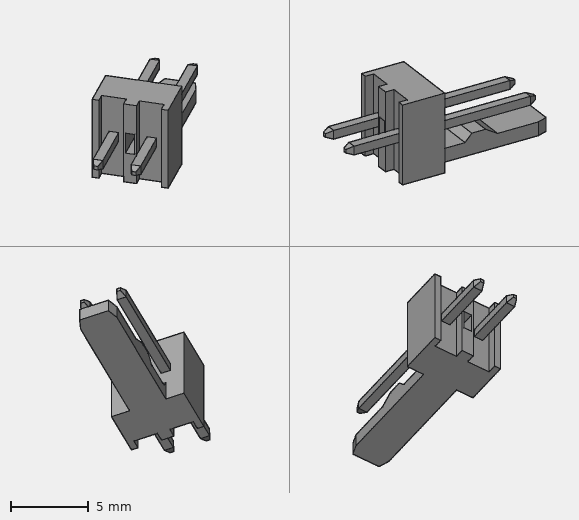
import cadquery as cq

housing_width = 5.08
housing_depth = 3.17
housing_height = 5.8
groove_depth = 0.64
side_foot_width = 0.46
middle_foot_width = 0.87
window_width = 0.61
window_height = 1.48

pin_pitch = 2.53
pin_side = 0.64
pin_tip_side = 0.26
pin_tip_length = 0.5
pin_front_reach = 3.55
pin_back_reach = 7.51
pin_height = housing_height / 2

tongue_length = 8.53
tongue_width = 2.55
tongue_end_width = 2.03
tongue_taper_length = 0.75
tongue_thickness = 1.0
root_radius = 0.6

bump_height = 0.55
bump_start = 2.29
bump_top_start = 2.8
bump_top_end = 3.83
bump_end = 4.73


def make_housing():
    """Block with two full-height front grooves and a central through window."""
    block = cq.Workplane("XY").box(
        housing_width, housing_depth, housing_height, centered=(True, False, False)
    )
    groove_width = (housing_width - middle_foot_width) / 2 - side_foot_width
    groove_offset = (middle_foot_width + groove_width) / 2
    grooves = (
        cq.Workplane("XY")
        .pushPoints([(-groove_offset, groove_depth / 2), (groove_offset, groove_depth / 2)])
        .rect(groove_width, groove_depth)
        .extrude(housing_height)
    )
    window = cq.Workplane("XY").box(
        window_width, housing_depth, window_height, centered=(True, False, True)
    ).translate((0, 0, housing_height / 2))
    return block.cut(grooves).cut(window)


def make_tongue():
    """Bumped side profile trimmed to a plan outline that narrows at the free end."""
    root = housing_depth
    end = root + tongue_length
    top = tongue_thickness
    bump_top = top + bump_height
    profile = (
        cq.Workplane("YZ", origin=(-tongue_width / 2, 0, 0))
        .moveTo(root, 0)
        .lineTo(end, 0)
        .lineTo(end, top)
        .lineTo(root + bump_end, top)
        .lineTo(root + bump_top_end, bump_top)
        .lineTo(root + bump_top_start, bump_top)
        .lineTo(root + bump_start, top)
        .lineTo(root + root_radius, top)
        .radiusArc((root, top + root_radius), root_radius)
        .close()
        .extrude(tongue_width)
    )
    half_width = tongue_width / 2
    half_end = tongue_end_width / 2
    taper_start = end - tongue_taper_length
    plan = (
        cq.Workplane("XY")
        .polyline([
            (-half_width, root),
            (half_width, root),
            (half_width, taper_start),
            (half_end, end),
            (-half_end, end),
            (-half_width, taper_start),
        ])
        .close()
        .extrude(bump_top)
    )
    return profile.intersect(plan)


def make_pin_tip(x, base_y, direction):
    """Square taper starting at base_y and pointing along +Y or -Y."""
    base = cq.Plane(origin=(x, base_y, pin_height), xDir=(1, 0, 0), normal=(0, direction, 0))
    return (
        cq.Workplane(base)
        .rect(pin_side, pin_side)
        .workplane(offset=pin_tip_length)
        .rect(pin_tip_side, pin_tip_side)
        .loft(ruled=True)
    )


def make_pin(x):
    """Straight square pin along Y with a taper at both ends."""
    shaft_start = pin_tip_length - pin_front_reach
    shaft_end = housing_depth + pin_back_reach - pin_tip_length
    shaft = cq.Workplane("XY").box(
        pin_side, shaft_end - shaft_start, pin_side, centered=(True, False, True)
    ).translate((x, shaft_start, pin_height))
    front_tip = make_pin_tip(x, shaft_start, -1)
    back_tip = make_pin_tip(x, shaft_end, 1)
    return shaft.union(front_tip).union(back_tip)


result = make_housing().union(make_tongue())
for pin_x in (-pin_pitch / 2, pin_pitch / 2):
    result = result.union(make_pin(pin_x))